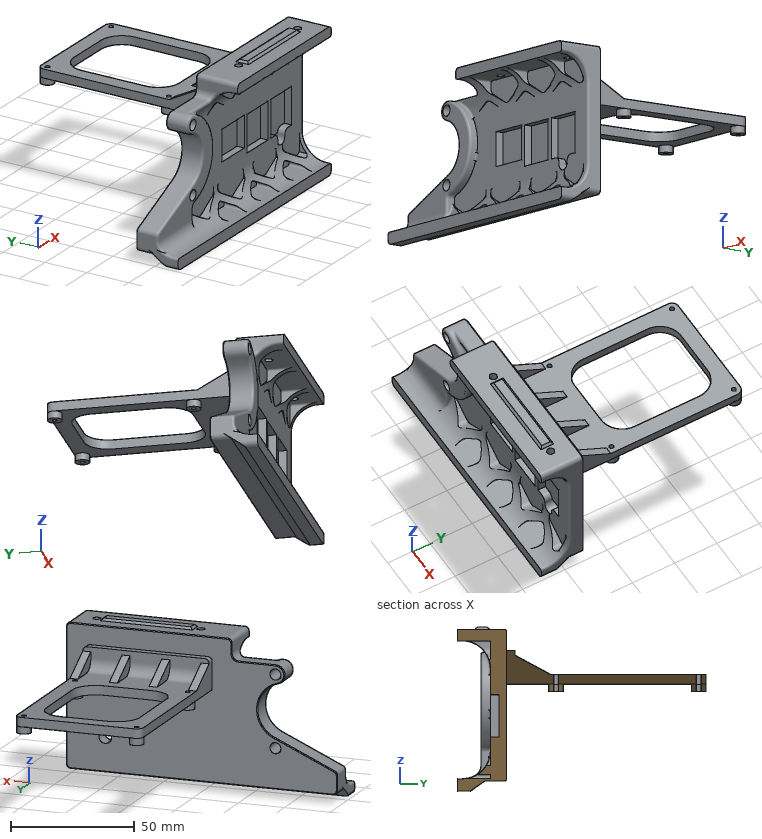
import cadquery as cq
import math

LENGTH = 118.0
DEPTH = 20.0
TOP_Z = 65.8
WEB_FRONT = 13.4
COVE_RADIUS = 11.2
COVE_Y = WEB_FRONT - COVE_RADIUS
LOWER_FLANGE_TOP = 5.2
UPPER_FLANGE_BOTTOM = 61.1
LOWER_COVE_Z = LOWER_FLANGE_TOP + COVE_RADIUS
UPPER_COVE_Z = UPPER_FLANGE_BOTTOM - COVE_RADIUS
FOOT_DEPTH = 5.3
BACK_BOTTOM_Z = 4.2
SLOPE_END_Y = 11.2
CORNER_RADIUS = 2.0
EDGE_RADIUS = 1.1
BACK_CHAMFER = 0.4

FLANGE_LEFT = 45.9
LUG_TOP_Z = 56.6
STEP_RADIUS = 3.0
HOLE_X = 26.9
RING_X = 22.7
RING_Z = 37.05
HOLE_SPACING = 31.0
LUG_Z = RING_Z + HOLE_SPACING / 2
LUG_RADIUS = LUG_TOP_Z - LUG_Z
LUG_OFFSET = (HOLE_X - RING_X, LUG_Z - RING_Z)
RING_TO_LUG = math.hypot(*LUG_OFFSET)
MOUTH_RADIUS = RING_TO_LUG - LUG_RADIUS
RAMP_ANGLE = math.radians(24.0)
MOUNT_HOLE_DIAMETER = 4.7

PAD_FRONT = 9.6
PAD_OUTER_RADIUS = 20.2
PAD_RIGHT = 27.1
PAD_CORNER_RADIUS = 2.0
PAD_FOOT_RADIUS = 0.8
PAD_ROUND = 5.0
PAD_BACK = 16.0

HEX_PITCH = 24.95
HEX_WALL = 3.25
HEX_ROW_PITCH = HEX_PITCH * math.sqrt(3) / 2
HEX_FIRST_X = 37.9
HEX_FIRST_Z = 19.4
HEX_CORNER_RADIUS = 3.0
RELIEF_CORNER_RADIUS = 0.8
RELIEF_RIGHT = 114.9
WIDE_RIB_LEFT, WIDE_RIB_RIGHT = 71.8, 79.2
LAST_RIB_LEFT = 96.9

POCKET_DEPTH = 3.5
POCKETS = [
    (55.5, 72.6, 25.1, 39.6),
    (74.7, 90.7, 22.1, 39.2),
    (93.0, 109.0, 22.1, 39.2),
]
SLOT_X = 101.0
SLOT_RADIUS = 2.7
SLOT_BOTTOM = 16.3
SLOT_FLARE = 2.5
WIRE_HOLE_TOP = 19.7

STRIP_LENGTH = 40.0
STRIP_WIDTH = 6.0
STRIP_HEIGHT = 1.0
STRIP_X = 85.7
STRIP_Y = 10.15
TOP_HOLE_DIAMETER = 3.25
TOP_HOLE_SPACING = 45.4

PLATE_LEFT = 54.4
PLATE_WIDTH = 55.0
PLATE_END_Y = 101.15
PLATE_BOTTOM = 43.5
PLATE_THICKNESS = 4.0
PLATE_TOP = PLATE_BOTTOM + PLATE_THICKNESS
PLATE_CORNER_RADIUS = 3.0
MOUNT_THICKNESS = 3.5
MOUNT_TOP = 57.3
MOUNT_CORNER_RADIUS = 2.0
MOUNT_FACE_Y = DEPTH + MOUNT_THICKNESS
ROOT_RADIUS = 5.0
RIB_END_Y = 38.0
RIB_THICKNESS = 3.5
RIB_LEFTS = [54.4, 71.5, 88.8, 105.9]
WINDOW_LEFT, WINDOW_RIGHT = 61.4, 102.2
WINDOW_FRONT, WINDOW_BACK = 43.7, 94.1
WINDOW_RADIUS = 10.0

POST_DIAMETER = 6.0
POST_HEIGHT = 3.0
POST_HOLE_DIAMETER = 1.9
POST_INSET = POST_DIAMETER / 2
POST_SPACING_X = PLATE_WIDTH - POST_DIAMETER
POST_SPACING_Y = 58.0


def front_sketch():
    """Workplane whose local axes are X and Z and which extrudes toward +Y with a negative length."""
    return cq.Workplane("XZ")


def outline_prism():
    """The front outline of the housing, extruded through its whole depth."""
    toward_lug = (LUG_OFFSET[0] / RING_TO_LUG, LUG_OFFSET[1] / RING_TO_LUG)
    lug_end = (RING_X + MOUTH_RADIUS * toward_lug[0], RING_Z + MOUTH_RADIUS * toward_lug[1])
    mouth_right = (RING_X + MOUTH_RADIUS, RING_Z)
    ramp_top = (RING_X + MOUTH_RADIUS * math.sin(RAMP_ANGLE), RING_Z - MOUTH_RADIUS * math.cos(RAMP_ANGLE))
    ramp_bottom = (0, ramp_top[1] - ramp_top[0] * math.tan(RAMP_ANGLE))
    prism = (
        front_sketch()
        .moveTo(0, 0)
        .lineTo(LENGTH, 0)
        .lineTo(LENGTH, TOP_Z)
        .lineTo(FLANGE_LEFT, TOP_Z)
        .lineTo(FLANGE_LEFT, LUG_TOP_Z + STEP_RADIUS)
        .radiusArc((FLANGE_LEFT - STEP_RADIUS, LUG_TOP_Z), STEP_RADIUS)
        .lineTo(HOLE_X, LUG_TOP_Z)
        .threePointArc((HOLE_X - LUG_RADIUS, LUG_Z), lug_end)
        .threePointArc(mouth_right, ramp_top)
        .lineTo(*ramp_bottom)
        .close()
        .extrude(-DEPTH)
    )
    top_corners = prism.edges("|Y").edges(">Z")
    prism = top_corners.fillet(CORNER_RADIUS)
    tip = cq.selectors.NearestToPointSelector((0, DEPTH / 2, ramp_bottom[1]))
    return prism.edges(tip).fillet(CORNER_RADIUS)


def side_prism():
    """The side profile: two flanges, joined to the web by coves."""
    diagonal = COVE_RADIUS * math.sqrt(0.5)
    return (
        cq.Workplane("YZ")
        .moveTo(0, 0)
        .lineTo(FOOT_DEPTH, 0)
        .lineTo(SLOPE_END_Y, BACK_BOTTOM_Z)
        .lineTo(DEPTH, BACK_BOTTOM_Z)
        .lineTo(DEPTH, TOP_Z)
        .lineTo(0, TOP_Z)
        .lineTo(0, UPPER_FLANGE_BOTTOM)
        .lineTo(COVE_Y, UPPER_FLANGE_BOTTOM)
        .threePointArc((COVE_Y + diagonal, UPPER_COVE_Z + diagonal), (WEB_FRONT, UPPER_COVE_Z))
        .lineTo(WEB_FRONT, LOWER_COVE_Z)
        .threePointArc((COVE_Y + diagonal, LOWER_COVE_Z - diagonal), (COVE_Y, LOWER_FLANGE_TOP))
        .lineTo(0, LOWER_FLANGE_TOP)
        .close()
        .extrude(LENGTH)
    )


def on_cavity_rim(edge):
    """True for an edge where the cavity between the flanges runs out at the outline."""
    if edge.geomType() == "LINE" and abs(edge.tangentAt(0).x) > 0.999:
        if not math.isclose(edge.Center().z, LUG_TOP_Z, abs_tol=0.01):
            return False
    point = edge.positionAt(0.5)
    if point.z > UPPER_COVE_Z and point.y > COVE_Y:
        gap = math.hypot(point.y - COVE_Y, point.z - UPPER_COVE_Z) - COVE_RADIUS
    elif point.z < LOWER_COVE_Z and point.y > COVE_Y:
        gap = math.hypot(point.y - COVE_Y, point.z - LOWER_COVE_Z) - COVE_RADIUS
    elif point.y > COVE_Y:
        gap = point.y - WEB_FRONT
    else:
        gap = min(abs(point.z - UPPER_FLANGE_BOTTOM), abs(point.z - LOWER_FLANGE_TOP))
    return abs(gap) < 0.02


def shell_body():
    """Web and flanges, with rounded corners and a rounded cavity rim."""
    body = outline_prism().intersect(side_prism())
    bottom_corners = [
        edge
        for edge in body.edges("|Y").vals()
        if min(abs(edge.Center().z), abs(edge.Center().z - BACK_BOTTOM_Z)) < 0.01
    ]
    body = body.newObject(bottom_corners).fillet(CORNER_RADIUS)
    body = body.faces(">Y").edges().chamfer(BACK_CHAMFER)
    rim = [e for e in body.edges().vals() if on_cavity_rim(e)]
    return body.newObject(rim).fillet(EDGE_RADIUS)


def pad_region():
    """Front outline of the pad: round beside the mouth, straight beside the lower cove."""
    foot = LOWER_FLANGE_TOP
    notch_z = RING_Z - math.sqrt(PAD_OUTER_RADIUS**2 - (PAD_RIGHT - RING_X) ** 2)
    region = (
        front_sketch()
        .moveTo(0, foot)
        .lineTo(PAD_RIGHT, foot)
        .lineTo(PAD_RIGHT, notch_z)
        .threePointArc((RING_X + PAD_OUTER_RADIUS, RING_Z), (RING_X, RING_Z + PAD_OUTER_RADIUS))
        .lineTo(0, RING_Z + PAD_OUTER_RADIUS)
        .close()
        .extrude(-DEPTH)
    )
    notch = cq.selectors.NearestToPointSelector((PAD_RIGHT, DEPTH / 2, notch_z))
    return region.edges(notch).fillet(PAD_CORNER_RADIUS)


def ring_pad():
    """The raised pad beside the mouth and above the left part of the lower flange."""
    round_y = PAD_FRONT - PAD_ROUND
    reach = COVE_RADIUS - PAD_ROUND
    round_z = LOWER_COVE_Z - math.sqrt(reach**2 - (round_y - COVE_Y) ** 2)
    scale = PAD_ROUND / reach
    blend = (round_y + (round_y - COVE_Y) * scale, round_z + (round_z - LOWER_COVE_Z) * scale)
    middle = PAD_ROUND * math.sqrt(0.5)
    profile = (
        cq.Workplane("YZ")
        .moveTo(PAD_BACK, RING_Z + PAD_OUTER_RADIUS)
        .lineTo(PAD_FRONT, RING_Z + PAD_OUTER_RADIUS)
        .lineTo(PAD_FRONT, round_z)
        .threePointArc((round_y + middle, round_z - middle), blend)
        .lineTo(PAD_BACK, (blend[1] + round_z) / 2)
        .close()
        .extrude(LENGTH)
    )
    pad = outline_prism().intersect(pad_region()).intersect(profile)
    rim = [e for e in pad.faces("<Y").edges().vals() if e.Center().z > round_z + 0.01]
    ends = pad.faces("#Y").edges("%CIRCLE").vals()
    ends = [e for e in ends if abs(e.normal().x) > 0.999]
    return pad.newObject(rim + ends).fillet(EDGE_RADIUS)


def on_pad_foot(edge):
    """True for an edge where the outer wall of the pad meets the web or a cove."""
    point = edge.positionAt(0.5)
    if point.y < PAD_FRONT + EDGE_RADIUS + 0.01:
        return False
    from_ring = math.hypot(point.x - RING_X, point.z - RING_Z)
    return abs(from_ring - PAD_OUTER_RADIUS) < 0.01


def hexagon(x, z):
    """A hexagonal cutter with corners up and down, reaching from the front to the web face."""
    across_corners = (HEX_PITCH - HEX_WALL) / math.cos(math.radians(30))
    return (
        front_sketch()
        .center(x, z)
        .polygon(6, across_corners)
        .extrude(-WEB_FRONT)
        .rotate((x, 0, z), (x, 1, z), 30)
        .edges("|Y")
        .fillet(HEX_CORNER_RADIUS)
    )


def relief(
    x, z, low=LOWER_FLANGE_TOP, high=UPPER_FLANGE_BOTTOM, left=0, right=RELIEF_RIGHT
):
    """A hexagonal cutter kept within a Z range and an X range, with its cut corners rounded."""
    room = cq.Workplane().box(right - left, WEB_FRONT, high - low, centered=False)
    piece = hexagon(x, z).intersect(room.translate((left, 0, low)))
    cut_corners = [
        edge
        for edge in piece.edges("|Y").vals()
        if min(abs(edge.Center().z - low), abs(edge.Center().z - high)) < 0.01
    ]
    if not cut_corners:
        return piece
    return piece.newObject(cut_corners).fillet(RELIEF_CORNER_RADIUS)


def honeycomb():
    """Hexagonal cutters that turn the fill of both coves into ribs."""
    half = HEX_PITCH / 2
    row_z = [HEX_FIRST_Z + row * HEX_ROW_PITCH for row in (-1, 0, 1, 2)]
    columns = [HEX_FIRST_X + column * HEX_PITCH for column in range(4)]
    cutters = []
    for x in columns[:3]:
        cutters.append(relief(x + half, row_z[0], high=LOWER_COVE_Z))
        cutters.append(relief(x + half, row_z[2]))
        cutters.append(relief(x + HEX_PITCH, row_z[3], low=UPPER_COVE_Z))
    cutters.append(relief(columns[0], row_z[1]))
    cutters.append(relief(columns[3], row_z[1]))
    cutters.append(relief(columns[1], row_z[1], high=LOWER_COVE_Z, right=WIDE_RIB_LEFT))
    cutters.append(
        relief(columns[2], row_z[1], high=LOWER_COVE_Z, left=WIDE_RIB_RIGHT, right=LAST_RIB_LEFT)
    )
    return [cutter.cut(pad_region()) for cutter in cutters]


def pockets():
    """Rectangular pockets in the web, with the wire slot below the last one."""
    cutters = []
    for left, right, bottom, top in POCKETS:
        pocket = cq.Workplane().box(right - left, POCKET_DEPTH, top - bottom, centered=False)
        cutters.append(pocket.translate((left, WEB_FRONT, bottom)))
    bottom = POCKETS[-1][2]
    round_z = SLOT_BOTTOM + SLOT_RADIUS
    flare_z = bottom - SLOT_FLARE
    wide = SLOT_RADIUS + SLOT_FLARE
    slot = (
        front_sketch()
        .workplane(offset=-WEB_FRONT)
        .moveTo(SLOT_X - wide, bottom)
        .radiusArc((SLOT_X - SLOT_RADIUS, flare_z), SLOT_FLARE)
        .lineTo(SLOT_X - SLOT_RADIUS, round_z)
        .threePointArc((SLOT_X, SLOT_BOTTOM), (SLOT_X + SLOT_RADIUS, round_z))
        .lineTo(SLOT_X + SLOT_RADIUS, flare_z)
        .radiusArc((SLOT_X + wide, bottom), SLOT_FLARE)
        .close()
    )
    cutters.append(slot.extrude(-POCKET_DEPTH))
    wire_hole = (
        front_sketch()
        .moveTo(SLOT_X - SLOT_RADIUS, WIRE_HOLE_TOP)
        .lineTo(SLOT_X - SLOT_RADIUS, round_z)
        .threePointArc((SLOT_X, SLOT_BOTTOM), (SLOT_X + SLOT_RADIUS, round_z))
        .lineTo(SLOT_X + SLOT_RADIUS, WIRE_HOLE_TOP)
        .close()
        .extrude(-DEPTH)
    )
    cutters.append(wire_hole)
    return cutters


def make_housing():
    """Web, flanges and pad in one body, with its relief, pockets and holes."""
    body = shell_body().union(ring_pad())
    body = body.newObject([e for e in body.edges().vals() if on_pad_foot(e)]).fillet(PAD_FOOT_RADIUS)
    for cutter in honeycomb():
        body = body.cut(cutter)
    for cutter in pockets():
        body = body.cut(cutter)
    mount_holes = (
        front_sketch()
        .pushPoints([(HOLE_X, LUG_Z), (HOLE_X, LUG_Z - HOLE_SPACING)])
        .circle(MOUNT_HOLE_DIAMETER / 2)
        .extrude(-DEPTH)
    )
    top_holes = (
        cq.Workplane()
        .workplane(offset=UPPER_COVE_Z)
        .center(STRIP_X, STRIP_Y)
        .rarray(TOP_HOLE_SPACING, 1, 2, 1)
        .circle(TOP_HOLE_DIAMETER / 2)
        .extrude(TOP_Z - UPPER_COVE_Z)
    )
    return body.cut(mount_holes).cut(top_holes)


def make_strip():
    """Raised strip on the upper flange, with sides sloping at 45 degrees."""
    return (
        cq.Workplane()
        .workplane(offset=TOP_Z)
        .center(STRIP_X, STRIP_Y)
        .rect(STRIP_LENGTH, STRIP_WIDTH)
        .extrude(STRIP_HEIGHT, taper=45)
    )


def post_points():
    """Centres of the four standoffs in X and Y."""
    left = PLATE_LEFT + POST_INSET
    back = PLATE_END_Y - POST_INSET
    return [
        (left + column * POST_SPACING_X, back - row * POST_SPACING_Y)
        for column in range(2)
        for row in range(2)
    ]


def make_bracket():
    """Plate with a window, carried by a mounting wall and four ribs."""
    plate = (
        cq.Workplane()
        .box(PLATE_WIDTH, PLATE_END_Y - DEPTH, PLATE_THICKNESS, centered=False)
        .edges("|Z and >Y")
        .fillet(PLATE_CORNER_RADIUS)
        .translate((PLATE_LEFT, DEPTH, PLATE_BOTTOM))
    )
    wall = (
        cq.Workplane()
        .box(PLATE_WIDTH, MOUNT_THICKNESS, MOUNT_TOP - PLATE_BOTTOM, centered=False)
        .edges("|Y and >Z")
        .fillet(MOUNT_CORNER_RADIUS)
        .translate((PLATE_LEFT, DEPTH, PLATE_BOTTOM))
    )
    root = (
        cq.Workplane("YZ")
        .workplane(offset=PLATE_LEFT)
        .moveTo(MOUNT_FACE_Y, PLATE_TOP)
        .lineTo(MOUNT_FACE_Y + ROOT_RADIUS, PLATE_TOP)
        .radiusArc((MOUNT_FACE_Y, PLATE_TOP + ROOT_RADIUS), ROOT_RADIUS)
        .close()
        .extrude(PLATE_WIDTH)
    )
    bracket = plate.union(wall).union(root)
    for left in RIB_LEFTS:
        rib = (
            cq.Workplane("YZ")
            .workplane(offset=left)
            .moveTo(MOUNT_FACE_Y, PLATE_TOP)
            .lineTo(RIB_END_Y, PLATE_TOP)
            .lineTo(MOUNT_FACE_Y, MOUNT_TOP - MOUNT_CORNER_RADIUS)
            .close()
            .extrude(RIB_THICKNESS)
        )
        bracket = bracket.union(rib)
    window = (
        cq.Workplane()
        .box(WINDOW_RIGHT - WINDOW_LEFT, WINDOW_BACK - WINDOW_FRONT, PLATE_THICKNESS, centered=False)
        .edges("|Z")
        .fillet(WINDOW_RADIUS)
        .translate((WINDOW_LEFT, WINDOW_FRONT, PLATE_BOTTOM))
    )
    screw_holes = (
        cq.Workplane()
        .workplane(offset=PLATE_BOTTOM)
        .pushPoints(post_points())
        .circle(POST_HOLE_DIAMETER / 2)
        .extrude(PLATE_THICKNESS)
    )
    return bracket.cut(window).cut(screw_holes)


def make_post(point):
    """A round standoff under the plate, with a screw hole through it."""
    return (
        cq.Workplane()
        .workplane(offset=PLATE_BOTTOM - POST_HEIGHT)
        .center(*point)
        .circle(POST_DIAMETER / 2)
        .circle(POST_HOLE_DIAMETER / 2)
        .extrude(POST_HEIGHT)
    )


housing = make_housing()
strip = make_strip()
bracket = make_bracket()
posts = [make_post(point) for point in post_points()]

result = cq.Compound.makeCompound(
    [housing.val(), strip.val(), bracket.val(), *[post.val() for post in posts]]
)